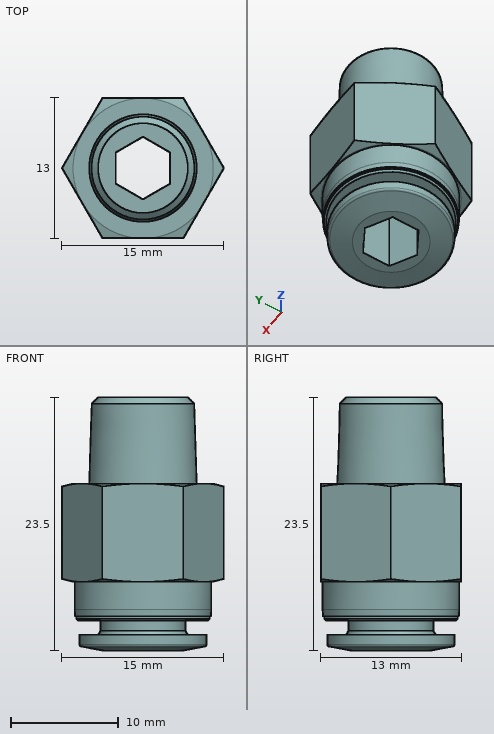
import math

import cadquery as cq

hex_sides = 6
half_side_angle = 180 / hex_sides

overall_height = 23.5
thread_length = 8.0
hex_top = overall_height - thread_length
hex_bottom = 6.4
sleeve_taper_start = 3.85
sleeve_lip_top = 3.2
sleeve_bottom = 2.8
button_top = 1.5

button_diameter = 11.8
button_face_diameter = 7.2
button_cone_height = 0.4
button_edge_rounding = 0.2
neck_diameter = 7.9
neck_flare_width = 0.2
neck_flare_height = 0.35

sleeve_diameter = 12.7
sleeve_tapered_diameter = 12.6
sleeve_lip_diameter = 12.4
sleeve_lip_chamfer = 0.2

hex_across_flats = 13.0
hex_across_corners = hex_across_flats / math.cos(math.radians(half_side_angle))
hex_chamfer_angle = 15.0
hex_corner_drop = (hex_across_corners - hex_across_flats) / 2 * math.tan(math.radians(hex_chamfer_angle))

thread_base_diameter = 9.98
thread_taper = 1 / 16
thread_tip_chamfer = 0.6
thread_tip_diameter = thread_base_diameter - thread_taper * (thread_length - thread_tip_chamfer)

socket_across_flats = 5.0
socket_across_corners = socket_across_flats / math.cos(math.radians(half_side_angle))


def revolve_profile(points):
    """Turn a (radius, height) outline about the Z axis."""
    return cq.Workplane("XZ").polyline(points).close().revolve(360, (0, 0, 0), (0, 1, 0))


def make_button():
    radius = button_diameter / 2
    neck_radius = neck_diameter / 2
    return (
        cq.Workplane("XZ")
        .lineTo(button_face_diameter / 2, 0)
        .lineTo(radius - button_edge_rounding, button_cone_height)
        .radiusArc((radius, button_cone_height + button_edge_rounding), -button_edge_rounding)
        .lineTo(radius, button_top)
        .lineTo(neck_radius + neck_flare_width, button_top)
        .lineTo(neck_radius, button_top + neck_flare_height)
        .lineTo(neck_radius, sleeve_bottom)
        .lineTo(0, sleeve_bottom)
        .close()
        .revolve(360, (0, 0, 0), (0, 1, 0))
    )


def make_sleeve():
    radius = sleeve_diameter / 2
    lip_radius = sleeve_lip_diameter / 2
    return revolve_profile([
        (0, sleeve_bottom),
        (lip_radius - sleeve_lip_chamfer, sleeve_bottom),
        (lip_radius, sleeve_bottom + sleeve_lip_chamfer),
        (lip_radius, sleeve_lip_top),
        (sleeve_tapered_diameter / 2, sleeve_lip_top),
        (radius, sleeve_taper_start),
        (radius, hex_bottom),
        (0, hex_bottom),
    ])


def make_hexagon():
    prism = (
        cq.Workplane("XY", origin=(0, 0, hex_bottom))
        .polygon(hex_sides, hex_across_corners)
        .extrude(hex_top - hex_bottom)
    )
    face_radius = hex_across_flats / 2
    corner_radius = hex_across_corners / 2
    chamfer_envelope = revolve_profile([
        (0, hex_bottom),
        (face_radius, hex_bottom),
        (corner_radius, hex_bottom + hex_corner_drop),
        (corner_radius, hex_top - hex_corner_drop),
        (face_radius, hex_top),
        (0, hex_top),
    ])
    return prism.intersect(chamfer_envelope)


def make_thread_stub():
    tip_radius = thread_tip_diameter / 2
    return revolve_profile([
        (0, hex_top),
        (thread_base_diameter / 2, hex_top),
        (tip_radius, overall_height - thread_tip_chamfer),
        (tip_radius - thread_tip_chamfer, overall_height),
        (0, overall_height),
    ])


def make_socket():
    return (
        cq.Workplane("XY")
        .transformed(rotate=(0, 0, half_side_angle))
        .polygon(hex_sides, socket_across_corners)
        .extrude(overall_height)
    )


body = make_button().union(make_sleeve()).union(make_hexagon()).union(make_thread_stub())
result = body.cut(make_socket())